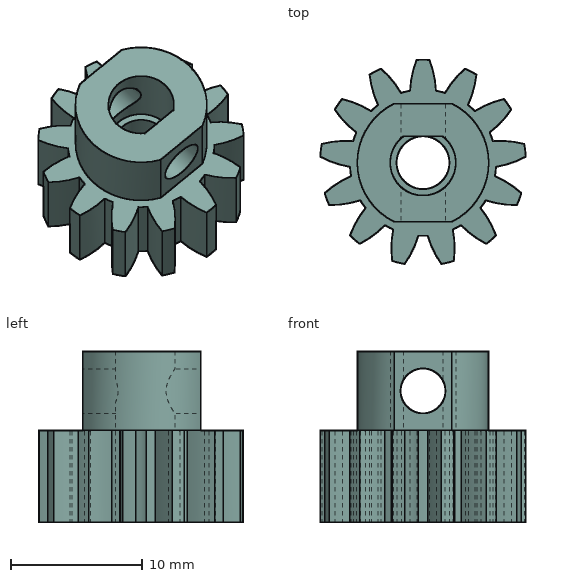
import cadquery as cq
import math

tooth_count = 13
tip_radius = 7.84
root_radius = 5.57
gear_height = 7.0
tip_width = 0.99
root_width = 1.99
middle_width = 1.69

total_height = 13.0
hub_diameter = 10.0
hub_across_flats = 9.0

shaft_diameter = 5.0
through_diameter = 4.0
shaft_flat_y = through_diameter / 2
shaft_bore_floor = gear_height

screw_diameter = 3.4
screw_z = (gear_height + total_height) / 2


def trimmed_cylinder(diameter, height, y_min, y_max):
    """A cylinder standing on Z = 0, cut flat at y_min and y_max."""
    slab = cq.Workplane("XY").box(diameter, y_max - y_min, height, centered=(True, False, False))
    return cq.Workplane("XY").circle(diameter / 2).extrude(height).intersect(slab.translate((0, y_min, 0)))


def make_tooth():
    """One tooth pointing along +Y, with bowed flanks and rooted inside the gear body."""
    half_root = root_width / 2
    half_middle = middle_width / 2
    half_tip = tip_width / 2
    root_y = math.sqrt(root_radius**2 - half_root**2)
    tip_y = math.sqrt(tip_radius**2 - half_tip**2)
    middle_y = (root_y + tip_y) / 2
    inner_y = root_radius / 2
    return (
        cq.Workplane("XY")
        .moveTo(-half_root, inner_y)
        .lineTo(-half_root, root_y)
        .threePointArc((-half_middle, middle_y), (-half_tip, tip_y))
        .threePointArc((0, tip_radius), (half_tip, tip_y))
        .threePointArc((half_middle, middle_y), (half_root, root_y))
        .lineTo(half_root, inner_y)
        .close()
        .extrude(gear_height)
    )


part = cq.Workplane("XY").circle(root_radius).extrude(gear_height)
tooth = make_tooth()
for index in range(tooth_count):
    part = part.union(tooth.rotate((0, 0, 0), (0, 0, 1), index * 360 / tooth_count))

hub = trimmed_cylinder(
    hub_diameter, total_height - gear_height, -hub_across_flats / 2, hub_across_flats / 2
)
part = part.union(hub.translate((0, 0, gear_height)))

through_bore = cq.Workplane("XY").circle(through_diameter / 2).extrude(total_height)
shaft_bore = trimmed_cylinder(
    shaft_diameter, total_height - shaft_bore_floor, -shaft_diameter / 2, shaft_flat_y
)
part = part.cut(through_bore).cut(shaft_bore.translate((0, 0, shaft_bore_floor)))

screw_hole = (
    cq.Workplane("XZ")
    .center(0, screw_z)
    .circle(screw_diameter / 2)
    .extrude(hub_diameter / 2, both=True)
)
result = part.cut(screw_hole)